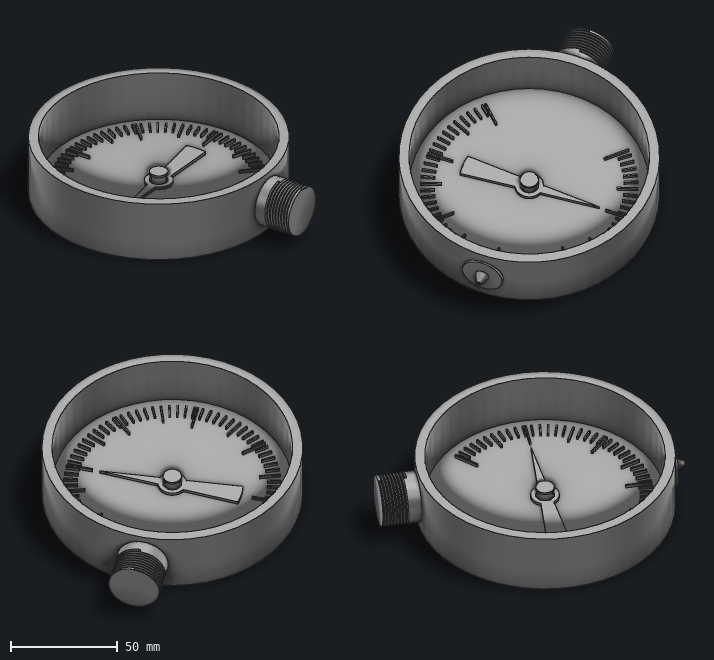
import cadquery as cq
import math

OVERALL_LENGTH = 146.4

CASE_RADIUS = 61.13
CASE_HEIGHT = 30.6
DIAL_RADIUS = 56.4
DIAL_LEVEL = 5.1
MID_HEIGHT = CASE_HEIGHT / 2

MARK_OUTER_RADIUS = 51.0
MARK_WIDTH = 0.7
MARK_HEIGHT = 1.5
MARK_SINK = 0.7
FINE_INNER_RADIUS = 44.5
MEDIUM_INNER_RADIUS = 41.1
MAJOR_INNER_RADIUS = 38.5

FINE_COUNT = 60
FINE_START_ANGLE = 47.0
FINE_STEP_ANGLE = 4.485
MEDIUM_EVERY = 10
FIRST_MEDIUM = 4

MAJOR_COUNT = 7
MAJOR_START_ANGLE = 45.0
MAJOR_STEP_ANGLE = 45.0

HEAD_RADIUS = 4.4
NECK_RADIUS = 3.4
HEAD_THICKNESS = 1.0
POST_HEIGHT = 6.1

POINTER_THICKNESS = 1.5
HUB_RADIUS = 6.7
POINTER_HOLE_RADIUS = 4.4
TAIL_RADIUS = 33.2
TAIL_END_HALF_WIDTH = 5.3
TAIL_ROOT_HALF_WIDTH = 3.1
TIP_REACH = 35.1
TIP_ROOT_HALF_WIDTH = 2.2

PAD_RADIUS = 10.0
PAD_FACE_X = -62.0
CONE_LENGTH = 4.8
CONE_BASE_RADIUS = 3.2
CONE_TIP_RADIUS = 1.0
TIP_HOLE_RADIUS = 0.5

STEM_RADIUS = 12.2
STEM_START_X = 61.0
STEM_END_X = PAD_FACE_X - CONE_LENGTH + OVERALL_LENGTH

THREAD_PITCH = 1.54
THREAD_TURNS = 8
THREAD_START_X = 66.8
GROOVE_DEPTH = 0.9
GROOVE_WIDTH = 1.3
GROOVE_ROOT_WIDTH = 0.3
GROOVE_OVERCUT = 0.1


def make_cup():
    cup = cq.Workplane("XY").circle(CASE_RADIUS).extrude(CASE_HEIGHT)
    recess = cq.Workplane("XY").workplane(offset=DIAL_LEVEL).circle(DIAL_RADIUS).extrude(CASE_HEIGHT)
    return cup.cut(recess)


def make_mark(angle, inner_radius):
    """One bar whose counterclockwise edge lies on the radial line at the given angle."""
    length = MARK_OUTER_RADIUS - inner_radius
    return (
        cq.Workplane("XY")
        .box(length, MARK_WIDTH, MARK_HEIGHT + MARK_SINK, centered=False)
        .translate((inner_radius, -MARK_WIDTH, DIAL_LEVEL - MARK_SINK))
        .rotate((0, 0, 0), (0, 0, 1), angle)
    )


def make_marks():
    marks = []
    for i in range(FINE_COUNT):
        is_medium = i % MEDIUM_EVERY == FIRST_MEDIUM
        inner_radius = MEDIUM_INNER_RADIUS if is_medium else FINE_INNER_RADIUS
        marks.append(make_mark(FINE_START_ANGLE + i * FINE_STEP_ANGLE, inner_radius))
    for i in range(MAJOR_COUNT):
        marks.append(make_mark(MAJOR_START_ANGLE + i * MAJOR_STEP_ANGLE, MAJOR_INNER_RADIUS))
    return marks


def make_post():
    """Slim neck rising through the dial, with a wider flat head."""
    head_top = DIAL_LEVEL + POST_HEIGHT
    neck = cq.Workplane("XY").circle(NECK_RADIUS).extrude(head_top)
    head = (
        cq.Workplane("XY")
        .workplane(offset=head_top - HEAD_THICKNESS)
        .circle(HEAD_RADIUS)
        .extrude(HEAD_THICKNESS)
    )
    return neck.union(head)


def make_nipple():
    tip_x = PAD_FACE_X - CONE_LENGTH
    root_x = -(CASE_RADIUS + DIAL_RADIUS) / 2
    profile = [
        (root_x, 0),
        (root_x, PAD_RADIUS),
        (PAD_FACE_X, PAD_RADIUS),
        (PAD_FACE_X, CONE_BASE_RADIUS),
        (tip_x, CONE_TIP_RADIUS),
        (tip_x, 0),
    ]
    nipple = cq.Workplane("XZ").polyline(profile).close().revolve(360, (0, 0, 0), (1, 0, 0))
    hole = cq.Workplane("YZ").workplane(offset=tip_x).circle(TIP_HOLE_RADIUS).extrude(CONE_LENGTH)
    nipple = nipple.cut(hole)
    return nipple.translate((0, 0, MID_HEIGHT))


def make_stem():
    """Stem along +X, built upright on Z and then tipped over so its thread starts on top."""
    stem = cq.Workplane("XY").circle(STEM_RADIUS).extrude(STEM_END_X - STEM_START_X)
    helix = cq.Wire.makeHelix(THREAD_PITCH, THREAD_PITCH * THREAD_TURNS, STEM_RADIUS)
    root_half_width = GROOVE_ROOT_WIDTH / 2
    flank_slope = (GROOVE_WIDTH / 2 - root_half_width) / GROOVE_DEPTH
    outer_half_width = GROOVE_WIDTH / 2 + flank_slope * GROOVE_OVERCUT
    section = [
        (STEM_RADIUS - GROOVE_DEPTH, root_half_width),
        (STEM_RADIUS - GROOVE_DEPTH, -root_half_width),
        (STEM_RADIUS + GROOVE_OVERCUT, -outer_half_width),
        (STEM_RADIUS + GROOVE_OVERCUT, outer_half_width),
    ]
    groove = cq.Workplane("XZ").polyline(section).close().sweep(cq.Workplane(obj=helix), isFrenet=True)
    stem = stem.cut(groove.translate((0, 0, THREAD_START_X - STEM_START_X)))
    tipped = stem.rotate((0, 0, 0), (0, 0, 1), 180).rotate((0, 0, 0), (0, 1, 0), 90)
    return tipped.translate((STEM_START_X, 0, MID_HEIGHT))


def make_case():
    case = make_cup()
    for mark in make_marks():
        case = case.union(mark)
    return case.union(make_post()).union(make_nipple()).union(make_stem())


def make_pointer():
    tail_end_y = math.sqrt(TAIL_RADIUS**2 - TAIL_END_HALF_WIDTH**2)
    tail_root_y = math.sqrt(HUB_RADIUS**2 - TAIL_ROOT_HALF_WIDTH**2)
    tip_root_y = -math.sqrt(HUB_RADIUS**2 - TIP_ROOT_HALF_WIDTH**2)
    outline = (
        cq.Workplane("XY")
        .workplane(offset=DIAL_LEVEL)
        .moveTo(TAIL_END_HALF_WIDTH, tail_end_y)
        .threePointArc((0, TAIL_RADIUS), (-TAIL_END_HALF_WIDTH, tail_end_y))
        .lineTo(-TAIL_ROOT_HALF_WIDTH, tail_root_y)
        .threePointArc((-HUB_RADIUS, 0), (-TIP_ROOT_HALF_WIDTH, tip_root_y))
        .lineTo(0, -TIP_REACH)
        .lineTo(TIP_ROOT_HALF_WIDTH, tip_root_y)
        .threePointArc((HUB_RADIUS, 0), (TAIL_ROOT_HALF_WIDTH, tail_root_y))
        .close()
    )
    hole = cq.Workplane("XY").circle(POINTER_HOLE_RADIUS).extrude(CASE_HEIGHT)
    return outline.extrude(POINTER_THICKNESS).cut(hole)


case = make_case()
pointer = make_pointer()

result = cq.Compound.makeCompound([case.val(), pointer.val()])